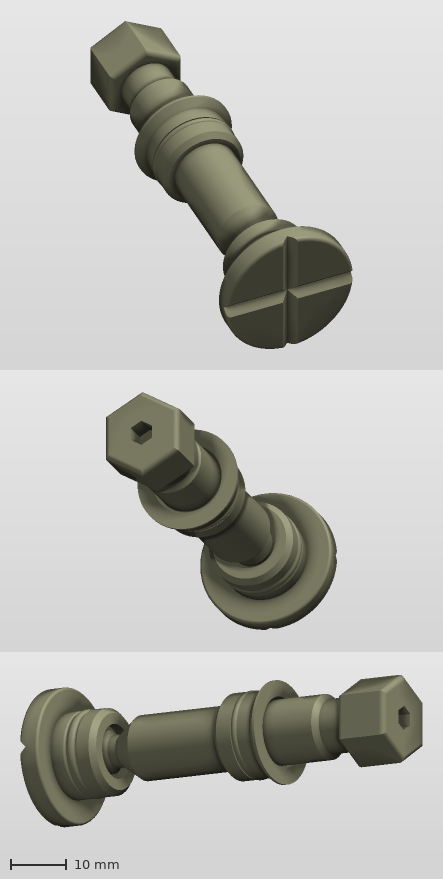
import cadquery as cq
import math

TOTAL_LENGTH = 74.0
START_X = -TOTAL_LENGTH / 2

HEX_FLATS = 14.0
HEX_LENGTH = 10.0
HEX_FILLET = 1.0
SOCKET_FLATS = 4.0
SOCKET_DEPTH = 5.0
NECK_RADIUS = 4.995
SHAFT_RADIUS = 6.0
SHAFT_CHAMFER = SHAFT_RADIUS - NECK_RADIUS
NECK_END_X = START_X + 15.0
NOSE_START_X = START_X + 55.0
NOSE_LENGTH = 4.4
TIP_RADIUS = 3.0
TIP_LENGTH = 1.7
FLARE_RADIUS = 4.0
FLARE_LENGTH = FLARE_RADIUS - TIP_RADIUS

SEAT_RADIUS = 8.0
END_CHAMFER = 1.0
COLLAR_START_X = START_X + 26.0
COLLAR_LENGTH = 10.0
COLLAR_MOUTH_RADIUS = 6.5
COLLAR_RIM_RADIUS = 9.5
COLLAR_RIM_THICKNESS = 0.5

CAP_START_X = START_X + 61.0
CAP_END_X = START_X + TOTAL_LENGTH
CAP_FLANGE_RADIUS = 12.5
CAP_FLANGE_THICKNESS = 4.0
CAP_INNER_FILLET = 0.5
CAP_OUTER_FILLET = 0.75
CAP_SLOT_DEPTH = 1.5
CAP_BORE_RADIUS = 4.995
CAP_BORE_DEPTH = 2.0

RING_RADIUS = 8.15
COLLAR_RING_SECTION = 1.3
CAP_RING_SECTION = 2.0
COLLAR_RING_X = START_X + 31.3
GROOVE_EDGE_FILLET = 0.5
CAP_RING_X = START_X + 66.0
SELECTION_MARGIN = 0.1


def revolve_profile(points):
    """Turn a closed (x, radius) outline about the X axis."""
    return cq.Workplane("XY").polyline(points).close().revolve(360, (0, 0, 0), (1, 0, 0))


def cylinder(start_x, length, radius):
    return cq.Workplane("YZ", origin=(start_x, 0, 0)).circle(radius).extrude(length)


def hex_prism(start_x, length, flats):
    """Hexagonal bar along X with two corners on the Z axis."""
    corner_diameter = flats / math.cos(math.pi / 6)
    plane = cq.Workplane("YZ", origin=(start_x, 0, 0))
    return plane.transformed(rotate=(0, 0, 90)).polygon(6, corner_diameter).extrude(length)


def make_spindle():
    head = hex_prism(START_X, HEX_LENGTH, HEX_FLATS).faces("<X or >X").edges().fillet(HEX_FILLET)
    head_end_x = START_X + HEX_LENGTH
    nose_end_x = NOSE_START_X + NOSE_LENGTH
    tip_end_x = nose_end_x + TIP_LENGTH
    flare_end_x = tip_end_x + FLARE_LENGTH
    spindle_end_x = CAP_START_X + CAP_BORE_DEPTH
    shaft = revolve_profile([
        (head_end_x, 0),
        (head_end_x, NECK_RADIUS),
        (NECK_END_X, NECK_RADIUS),
        (NECK_END_X + SHAFT_CHAMFER, SHAFT_RADIUS),
        (NOSE_START_X, SHAFT_RADIUS),
        (nose_end_x, TIP_RADIUS),
        (tip_end_x, TIP_RADIUS),
        (flare_end_x, FLARE_RADIUS),
        (spindle_end_x, FLARE_RADIUS),
        (spindle_end_x, 0),
    ])
    return head.union(shaft).cut(hex_prism(START_X, SOCKET_DEPTH, SOCKET_FLATS))


def make_ring(center_x, section_diameter):
    """Round-section seal."""
    section_radius = section_diameter / 2
    section = cq.Workplane("XY").moveTo(center_x, RING_RADIUS - section_radius).circle(section_radius)
    return section.revolve(360, (0, 0, 0), (1, 0, 0))


def cut_groove(body, center_x, width):
    """Cut a square groove of the ring's own width, its floor touching the inside of the ring."""
    start_x = center_x - width / 2
    floor = cylinder(start_x, width, RING_RADIUS - width)
    return body.cut(cylinder(start_x, width, RING_RADIUS).cut(floor))


def make_collar():
    end_x = COLLAR_START_X + COLLAR_LENGTH
    rim_end_x = COLLAR_START_X + COLLAR_RIM_THICKNESS
    collar = revolve_profile([
        (COLLAR_START_X + COLLAR_MOUTH_RADIUS - SHAFT_RADIUS, SHAFT_RADIUS),
        (COLLAR_START_X, COLLAR_MOUTH_RADIUS),
        (COLLAR_START_X, COLLAR_RIM_RADIUS),
        (rim_end_x, COLLAR_RIM_RADIUS),
        (rim_end_x + COLLAR_RIM_RADIUS - SEAT_RADIUS, SEAT_RADIUS),
        (end_x - END_CHAMFER, SEAT_RADIUS),
        (end_x, SEAT_RADIUS - END_CHAMFER),
        (end_x, SHAFT_RADIUS),
    ])
    return cut_groove(collar, COLLAR_RING_X, COLLAR_RING_SECTION)


def round_groove_edges(cap):
    """Round the two outer edges of the cap's ring groove."""
    half_length = CAP_RING_SECTION / 2 + SELECTION_MARGIN
    reach = SEAT_RADIUS + SELECTION_MARGIN
    around_groove = cq.selectors.BoxSelector(
        (CAP_RING_X - half_length, -reach, -reach),
        (CAP_RING_X + half_length, reach, reach),
        boundingbox=True,
    )
    outer_edges = cq.selectors.RadiusNthSelector(-1)
    return cap.edges(around_groove).edges(outer_edges).fillet(GROOVE_EDGE_FILLET)


def make_cap():
    flange_x = CAP_END_X - CAP_FLANGE_THICKNESS
    flange = cylinder(flange_x, CAP_FLANGE_THICKNESS, CAP_FLANGE_RADIUS)
    flange = flange.faces("<X").edges().fillet(CAP_INNER_FILLET)
    flange = flange.faces(">X").edges().fillet(CAP_OUTER_FILLET)
    plug = cylinder(CAP_START_X, flange_x - CAP_START_X, SEAT_RADIUS).faces("<X").edges().chamfer(END_CHAMFER)
    cap = flange.union(plug).cut(cylinder(CAP_START_X, CAP_BORE_DEPTH, CAP_BORE_RADIUS))
    slot_root_x = CAP_END_X - CAP_SLOT_DEPTH
    slot_profile = [(slot_root_x, 0), (CAP_END_X, CAP_SLOT_DEPTH), (CAP_END_X, -CAP_SLOT_DEPTH)]
    slot = cq.Workplane("XY").polyline(slot_profile).close().extrude(CAP_FLANGE_RADIUS, both=True)
    for angle in (0, 90):
        cap = cap.cut(slot.rotate((0, 0, 0), (1, 0, 0), angle))
    cap = cut_groove(cap, CAP_RING_X, CAP_RING_SECTION)
    return round_groove_edges(cap)


spindle = make_spindle()
collar = make_collar()
cap = make_cap()
rings = [
    make_ring(center_x, section)
    for center_x, section in ((COLLAR_RING_X, COLLAR_RING_SECTION), (CAP_RING_X, CAP_RING_SECTION))
]

result = cq.Compound.makeCompound([spindle.val(), collar.val(), cap.val(), *[ring.val() for ring in rings]])